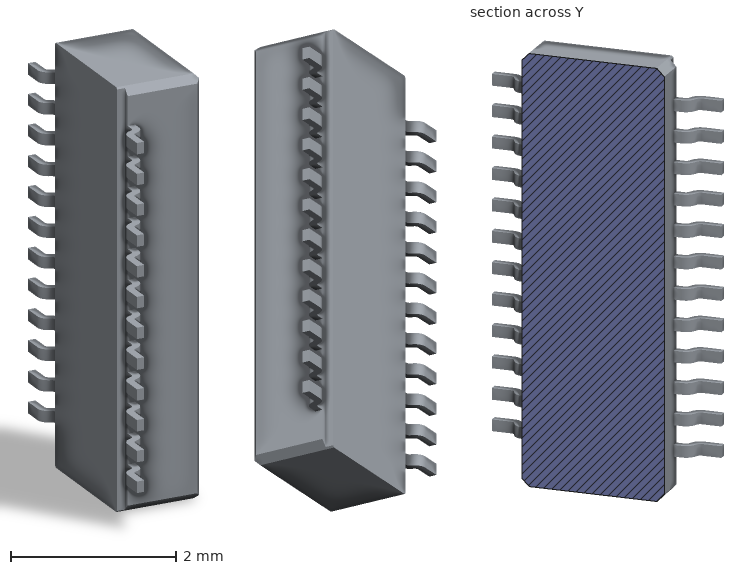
import cadquery as cq
import math

overall_width = 2.97
overall_depth = 1.14
body_length = 5.52
body_width = 1.85
corner_chamfer = 0.1
back_chamfer = 0.05
base_width = 1.695
base_height = 0.105
base_clearance = 0.05

leads_per_side = 12
lead_row_span = 4.4
lead_width = 0.15
lead_thickness = 0.1
foot_length = 0.255
bend_angle = 65
inner_radius = 0.05
lead_embed = 0.165

lead_pitch = lead_row_span / (leads_per_side - 1)
flange_y = base_clearance + base_height
body_depth = overall_depth - base_clearance

outer_radius = inner_radius + lead_thickness
bend_sine = math.sin(math.radians(bend_angle))
bend_cosine = math.cos(math.radians(bend_angle))
arcs_rise = (inner_radius + outer_radius) * (1 - bend_cosine)
slope_length = (flange_y - arcs_rise) / bend_sine
bend_run = (inner_radius + outer_radius) * bend_sine + slope_length * bend_cosine


def make_body():
    blank = cq.Workplane("XY").box(body_width, body_depth, body_length, centered=(True, False, True))
    blank = blank.translate((0, base_clearance, 0))
    back_beveled = blank.faces(">Y").chamfer(back_chamfer)
    corners_beveled = blank.edges("|Y").chamfer(corner_chamfer)
    body = back_beveled.intersect(corners_beveled)
    step_width = (body_width - base_width) / 2
    for side in (-1, 1):
        step = cq.Workplane("XY").box(step_width, base_height, body_length)
        step_x = side * (base_width + step_width) / 2
        body = body.cut(step.translate((step_x, base_clearance + base_height / 2, 0)))
    return body


def make_lead():
    """Lead on the +X side, centred on Z = 0."""
    tip_x = overall_width / 2
    foot_x = tip_x - foot_length
    shoulder_x = foot_x - bend_run
    root_x = body_width / 2 - lead_embed
    foot_center_y = lead_thickness + inner_radius
    shoulder_center_y = flange_y - inner_radius

    def foot_arc(radius, degrees):
        angle = math.radians(degrees)
        return (foot_x - radius * math.sin(angle), foot_center_y - radius * math.cos(angle))

    def shoulder_arc(radius, degrees):
        angle = math.radians(degrees)
        return (shoulder_x + radius * math.sin(angle), shoulder_center_y + radius * math.cos(angle))

    half_angle = bend_angle / 2
    profile = (
        cq.Workplane("XY")
        .moveTo(tip_x, 0)
        .lineTo(foot_x, 0)
        .threePointArc(foot_arc(outer_radius, half_angle), foot_arc(outer_radius, bend_angle))
        .lineTo(*shoulder_arc(inner_radius, bend_angle))
        .threePointArc(shoulder_arc(inner_radius, half_angle), (shoulder_x, flange_y))
        .lineTo(root_x, flange_y)
        .lineTo(root_x, flange_y + lead_thickness)
        .lineTo(shoulder_x, flange_y + lead_thickness)
        .threePointArc(shoulder_arc(outer_radius, half_angle), shoulder_arc(outer_radius, bend_angle))
        .lineTo(*foot_arc(inner_radius, bend_angle))
        .threePointArc(foot_arc(inner_radius, half_angle), (foot_x, lead_thickness))
        .lineTo(tip_x, lead_thickness)
        .close()
    )
    return profile.extrude(lead_width / 2, both=True)


result = make_body()
right_lead = make_lead()
left_lead = right_lead.mirror("YZ")
for index in range(leads_per_side):
    lead_z = index * lead_pitch - lead_row_span / 2
    for lead in (left_lead, right_lead):
        result = result.union(lead.translate((0, 0, lead_z)))